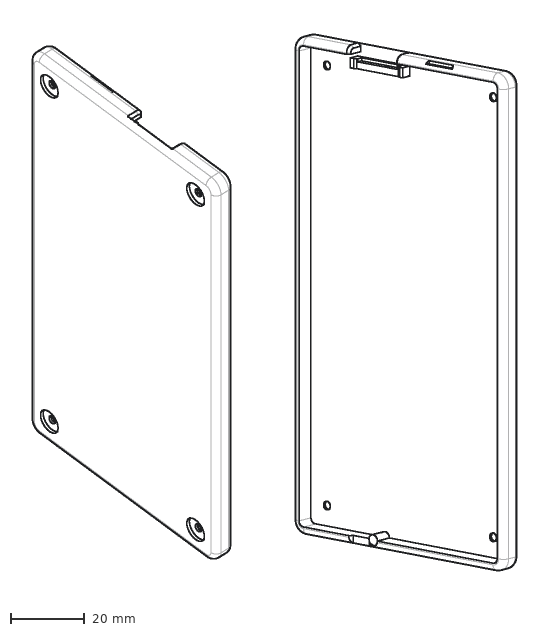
import cadquery as cq

width = 75.0
depth = 6.6
height = 138.3
corner_radius = 3.9
edge_radius = 2.0

wall = 2.4
floor = 1.7
inner_corner_radius = corner_radius - wall

hole_diameter = 2.4
counterbore_diameter = 7.0
counterbore_depth = 1.0
hole_offset_x = 29.5
hole_offset_z = 61.1

connector_x = 9.3
opening_width = 16.3
opening_chamfer = 0.8

rib_width = 18.5
rib_height = 4.7
rib_thickness = 2.8
rib_gap = 1.4
dip_width = 14.7
dip_slant = 0.8
dip_depth = 0.4
rib_pocket_width = 14.1
rib_pocket_depth = 0.8
rib_step_height = 1.0

finger_x = -14.2
finger_width = 8.6
finger_height = 1.2
finger_depth = 1.0
finger_slant = 0.4

cable_x = 13.8
cable_width = 5.8
cable_depth = 1.0
cable_slant = 0.7
post_x = 8.9
post_radius = 1.5

top = height / 2
wall_inside = top - wall
edge_margin = 0.1


def block(x_center, x_size, y_min, y_max, z_min, z_max):
    """Box centred on x_center, with its Y and Z limits given."""
    box = cq.Workplane("XY").box(x_size, y_max - y_min, z_max - z_min)
    return box.translate((x_center, (y_min + y_max) / 2, (z_min + z_max) / 2))


def sloped_dip(x_center, base_width, slant, y_base, y_open, z_min, z_max):
    """Cutter for a dip, wider at y_open than at y_base by a slant at each end."""
    half = base_width / 2
    outline = [
        (x_center - half, y_base),
        (x_center + half, y_base),
        (x_center + half + slant, y_open),
        (x_center - half - slant, y_open),
    ]
    return cq.Workplane("XY", origin=(0, 0, z_min)).polyline(outline).close().extrude(z_max - z_min)


def make_shell():
    outer = block(0, width, 0, depth, -top, top).edges("|Y").fillet(corner_radius)
    outer = outer.faces("<Y or >Y").edges().fillet(edge_radius)
    hollow = block(0, width - 2 * wall, floor, depth, -wall_inside, wall_inside)
    return outer.cut(hollow.edges("|Y").fillet(inner_corner_radius))


def screw_hole(x, z):
    """Through hole with a counterbore on the plain face."""
    face = cq.Workplane("XZ", origin=(x, 0, z))
    hole = face.circle(hole_diameter / 2).extrude(-depth)
    return hole.union(face.circle(counterbore_diameter / 2).extrude(-counterbore_depth))


def cut_connector_opening(body):
    """Cut through the top wall down to the floor and chamfer both ends of the cut at the outer face."""
    half = opening_width / 2
    body = body.cut(block(connector_x, opening_width, floor, depth, wall_inside, top))
    for end_x in (connector_x - half, connector_x + half):
        lower = (end_x - edge_margin, 0, top - edge_radius / 2)
        upper = (end_x + edge_margin, depth, top + edge_margin)
        body = body.edges(cq.selectors.BoxSelector(lower, upper)).chamfer(opening_chamfer)
    return body


def connector_rib():
    """Cross rib with a dip in its crest and a stepped pocket in the side facing the opening."""
    rib_top = wall_inside - rib_gap
    rib_bottom = rib_top - rib_thickness
    crest = rib_height - dip_depth
    step = floor + rib_step_height
    rib = block(connector_x, rib_width, floor, rib_height, rib_bottom, rib_top)
    rib = rib.cut(sloped_dip(connector_x, dip_width, dip_slant, crest, rib_height, rib_bottom, rib_top))
    pocket_back = rib_top - rib_pocket_depth
    return rib.cut(block(connector_x, rib_pocket_width, step, crest, pocket_back, rib_top))


def cable_post():
    """Round post half sunk into the inside of the bottom wall."""
    post = cq.Workplane("XZ", origin=(post_x, floor, -wall_inside))
    return post.circle(post_radius).extrude(floor - depth)


def finger_recess():
    """Shallow recess in the outside of the top wall."""
    base = depth - finger_height
    return sloped_dip(finger_x, finger_width, finger_slant, base, depth, top - finger_depth, top)


def cable_recess():
    """Dip in the rim, right through the bottom wall."""
    base = depth - cable_depth
    return sloped_dip(cable_x, cable_width, cable_slant, base, depth, -top, -wall_inside)


result = cut_connector_opening(make_shell())
for x in (-hole_offset_x, hole_offset_x):
    for z in (-hole_offset_z, hole_offset_z):
        result = result.cut(screw_hole(x, z))
result = result.union(connector_rib())
result = result.union(cable_post())
result = result.cut(finger_recess())
result = result.cut(cable_recess())